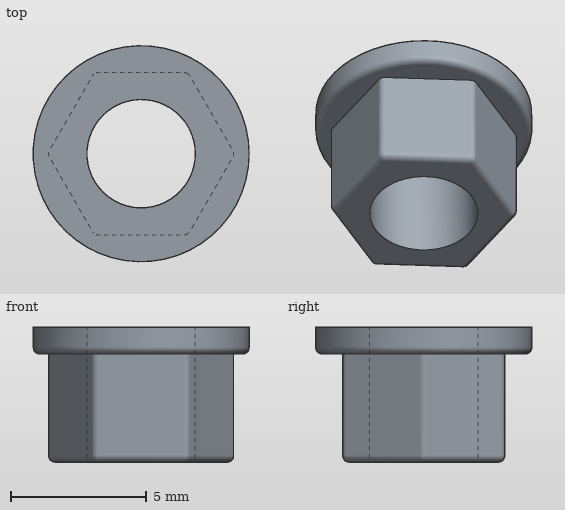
import cadquery as cq
import math

flange_diameter = 8.0
flange_thickness = 1.0
bore_diameter = flange_diameter / 2
hex_across_flats = 6.0
hex_height = 4.0
edge_radius = 0.25

total_height = hex_height + flange_thickness
hex_across_corners = hex_across_flats / math.cos(math.pi / 6)


def make_hex_body():
    """Hexagonal body with corners on the X axis and rounded sides and bottom."""
    body = cq.Workplane("XY").polygon(6, hex_across_corners).extrude(hex_height)
    return body.edges("|Z").fillet(edge_radius).faces("<Z").edges().fillet(edge_radius)


def make_flange():
    """Round flange on top of the body, with its lower rim rounded."""
    flange = cq.Workplane("XY").workplane(offset=hex_height)
    flange = flange.circle(flange_diameter / 2).extrude(flange_thickness)
    return flange.faces("<Z").edges().fillet(edge_radius)


def make_bore():
    """Cylinder that clears the bore through the full height."""
    return cq.Workplane("XY").circle(bore_diameter / 2).extrude(total_height)


result = make_hex_body().union(make_flange()).cut(make_bore())